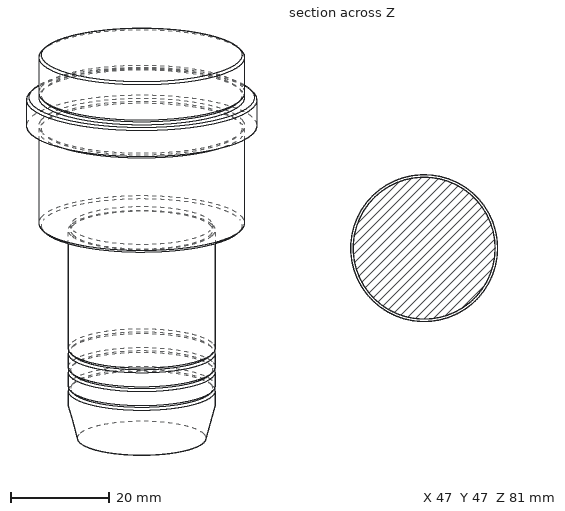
import cadquery as cq
import math

total_height = 81.0

edge_break = 0.5

head_radius = 21.0
head_bottom_z = 44.95
flange_radius = 23.5
flange_bottom_z = 66.0
flange_thickness = 6.0
flange_top_z = flange_bottom_z + flange_thickness

shank_radius = 15.0
relief_width = 1.0
relief_depth = 0.5

groove_count = 3
groove_pitch = 4.0
lowest_groove_z = 10.5

taper_height = 7.0
taper_angle = 15.0
tip_radius = shank_radius - taper_height * math.tan(math.radians(taper_angle))


def cylinder(radius, bottom_z, top_z):
    """Solid cylinder on the Z axis."""
    return cq.Workplane("XY").workplane(offset=bottom_z).circle(radius).extrude(top_z - bottom_z)


def v_groove(radius, center_z):
    """Ring cutter for a 90 degree V groove in a cylinder of the given radius."""
    profile = [
        (radius, center_z - edge_break),
        (radius - edge_break, center_z),
        (radius, center_z + edge_break),
    ]
    return cq.Workplane("XZ").polyline(profile).close().revolve(360, (0, 0), (0, 1))


def make_head():
    """Chamfered cylinder with a V groove above and below its flange."""
    head = cylinder(head_radius, head_bottom_z, total_height).faces("<Z or >Z").chamfer(edge_break)
    for center_z in (flange_bottom_z - edge_break, flange_top_z + edge_break):
        head = head.cut(v_groove(head_radius, center_z))
    flange = cylinder(flange_radius, flange_bottom_z, flange_top_z).faces(">Z").chamfer(edge_break)
    return head.union(flange)


def make_shank():
    """Tapered, grooved shank with a relief at its upper end."""
    relief_bottom_z = head_bottom_z - relief_width
    relief_radius = shank_radius - relief_depth
    profile = [
        (0, 0),
        (tip_radius, 0),
        (shank_radius, taper_height),
        (shank_radius, relief_bottom_z),
        (relief_radius, relief_bottom_z),
        (relief_radius, head_bottom_z),
        (0, head_bottom_z),
    ]
    shank = cq.Workplane("XZ").polyline(profile).close().revolve(360, (0, 0), (0, 1))
    for index in range(groove_count):
        shank = shank.cut(v_groove(shank_radius, lowest_groove_z + index * groove_pitch))
    return shank


result = make_head().union(make_shank())